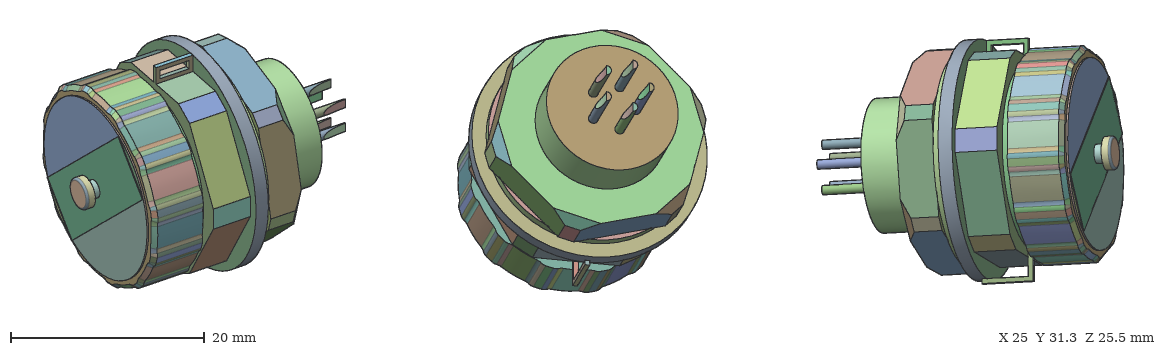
import cadquery as cq
import math


overall_length = 31.3
hex_half_angle = 30

flange_diameter = 25.0
flange_thickness = 1.5
hex_flat_radius = 10.5
hex_corner_radius = 11.4
hex_length = 4.5
neck_diameter = 19.0
neck_length = 1.0
barrel_diameter = 14.0
barrel_projection = 5

frame_thickness = 0.5
frame_bar = 0.5

gasket_diameter = 22.0
gasket_thickness = 1.0

nut_thickness = 4.0
nut_corner_radius = 11.6
nut_corner_angle = 43.8
nut_chamfer = 1.0

contact_count = 5
contact_diameter = 1.0
contact_circle_radius = 2.5
first_contact_angle = 180
scoop_length = 2.97

cap_length = 6.0
cap_chamfer = 0.5
cap_valley_radius = 11.0
cap_crest_radius = 11.25
ridge_count = 12
ridge_start_angle = 13.2
crest_half_angle = 2.2
flank_half_angle = 5.0
foot_half_angle = 7.6
disc_diameter = 20.0
disc_height = 0.2
bar_width = 7.0
bar_height = 0.1
bar_angle = 42.6

stud_neck_diameter = 2.0
stud_neck_length = 1.0
stud_head_diameter = 3.5
stud_head_length = 1.0
stud_head_fillet = 0.25

hex_rear = -flange_thickness
hex_front = hex_rear - hex_length
cap_rear = hex_front - neck_length
cap_front = cap_rear - cap_length
disc_front = cap_front - disc_height
bar_front = disc_front - bar_height
stud_head_rear = bar_front - stud_neck_length
stud_front = stud_head_rear - stud_head_length
nut_front = gasket_thickness
nut_rear = nut_front + nut_thickness
barrel_rear = nut_rear + barrel_projection
contact_tip = stud_front + overall_length


def section(y):
    """Workplane across the axis at y; it extrudes toward -Y."""
    return cq.Workplane("XZ", origin=(0, y, 0))


def cylinder(diameter, rear, front):
    return section(rear).circle(diameter / 2).extrude(rear - front)


def hex_prism(flat_radius, corner_angle, rear, front):
    """Hexagonal prism with one corner at corner_angle from +X."""
    corner_circle = 2 * flat_radius / math.cos(math.radians(hex_half_angle))
    prism = section(rear).polygon(6, corner_circle).extrude(rear - front)
    return prism.rotate((0, 0, 0), (0, -1, 0), corner_angle)


def polar(radius, degrees):
    angle = math.radians(degrees)
    return (radius * math.cos(angle), radius * math.sin(angle))


def frame_plate(rear, front, bottom, top):
    """Flat rectangle in the YZ plane, as thick as the lock frames."""
    plate = cq.Workplane("XY").box(frame_thickness, rear - front, top - bottom)
    return plate.translate((0, (rear + front) / 2, (bottom + top) / 2))


def make_upper_frame():
    """Frame that fills the step between hexagon and flange rim."""
    rim = flange_diameter / 2
    plate = frame_plate(hex_rear, hex_front, hex_flat_radius, rim)
    window = frame_plate(
        hex_rear - frame_bar, hex_front + frame_bar, hex_flat_radius + frame_bar, rim - frame_bar
    )
    return plate.cut(window)


def make_lower_frame():
    """Frame whose window, not its outline, fills the step between hexagon and flange rim."""
    rim = flange_diameter / 2
    plate = frame_plate(
        hex_rear + frame_bar, hex_front - frame_bar, -rim - frame_bar, -hex_flat_radius + frame_bar
    )
    window = frame_plate(hex_rear, hex_front, -rim, -hex_flat_radius)
    return plate.cut(window)


def make_housing():
    hexagon = hex_prism(hex_flat_radius, 0, hex_rear, hex_front)
    corner_cut = hex_prism(hex_corner_radius, hex_half_angle, hex_rear, hex_front)
    return (
        cylinder(barrel_diameter, barrel_rear, 0)
        .union(cylinder(flange_diameter, 0, hex_rear))
        .union(hexagon.intersect(corner_cut))
        .union(cylinder(neck_diameter, hex_front, cap_rear))
        .union(make_upper_frame())
        .union(make_lower_frame())
    )


def make_gasket():
    ring = cylinder(gasket_diameter, nut_front, 0)
    return ring.cut(cylinder(barrel_diameter, nut_front, 0))


def make_nut():
    hexagon = hex_prism(hex_flat_radius, nut_corner_angle, nut_rear, nut_front)
    cut_angle = nut_corner_angle + hex_half_angle
    corner_cut = hex_prism(nut_corner_radius, cut_angle, nut_rear, nut_front)
    corner_cut = corner_cut.faces(">Y").chamfer(nut_chamfer)
    return hexagon.intersect(corner_cut).cut(cylinder(barrel_diameter, nut_rear, nut_front))


def make_contact(angle):
    radius = contact_diameter / 2
    scoop_start = contact_tip - scoop_length
    scoop_radius = (scoop_length**2 + radius**2) / (2 * radius)
    scoop = (
        cq.Workplane("XY")
        .moveTo(radius, contact_tip)
        .lineTo(0, contact_tip)
        .radiusArc((radius, scoop_start), -scoop_radius)
        .close()
        .extrude(radius, both=True)
    )
    pin = cylinder(contact_diameter, contact_tip, barrel_rear)
    x, z = polar(contact_circle_radius, angle)
    return pin.cut(scoop).translate((x, 0, z))


def make_grip():
    pitch = 360 / ridge_count
    flank_radius = (cap_crest_radius + cap_valley_radius) / 2
    outline = section(cap_rear).moveTo(*polar(cap_crest_radius, ridge_start_angle - crest_half_angle))
    for index in range(ridge_count):
        ridge = ridge_start_angle + index * pitch
        valley = ridge + pitch / 2
        next_ridge = ridge + pitch
        outline = (
            outline
            .threePointArc(polar(cap_crest_radius, ridge), polar(cap_crest_radius, ridge + crest_half_angle))
            .tangentArcPoint(polar(flank_radius, ridge + flank_half_angle), relative=False)
            .tangentArcPoint(polar(cap_valley_radius, ridge + foot_half_angle), relative=False)
            .threePointArc(
                polar(cap_valley_radius, valley), polar(cap_valley_radius, next_ridge - foot_half_angle)
            )
            .tangentArcPoint(polar(flank_radius, next_ridge - flank_half_angle), relative=False)
            .tangentArcPoint(polar(cap_crest_radius, next_ridge - crest_half_angle), relative=False)
        )
    grip = outline.close().extrude(cap_length)
    return grip.faces("<Y").chamfer(cap_chamfer)


def make_cap():
    disc = cylinder(disc_diameter, cap_front, disc_front)
    bar_length = math.sqrt(disc_diameter**2 - bar_width**2)
    bar = section(disc_front).rect(bar_length, bar_width).extrude(bar_height)
    bar = bar.rotate((0, 0, 0), (0, -1, 0), bar_angle)
    return make_grip().union(disc).union(bar)


def make_stud():
    head = cylinder(stud_head_diameter, stud_head_rear, stud_front)
    head = head.faces("<Y").edges().fillet(stud_head_fillet)
    return cylinder(stud_neck_diameter, bar_front, stud_head_rear).union(head)


housing = make_housing()
gasket = make_gasket()
nut = make_nut()
cap = make_cap()
stud = make_stud()
contacts = [
    make_contact(first_contact_angle + index * 360 / contact_count) for index in range(contact_count)
]

result = cq.Compound.makeCompound(
    [housing.val(), gasket.val(), nut.val(), cap.val(), stud.val(), *[contact.val() for contact in contacts]]
)